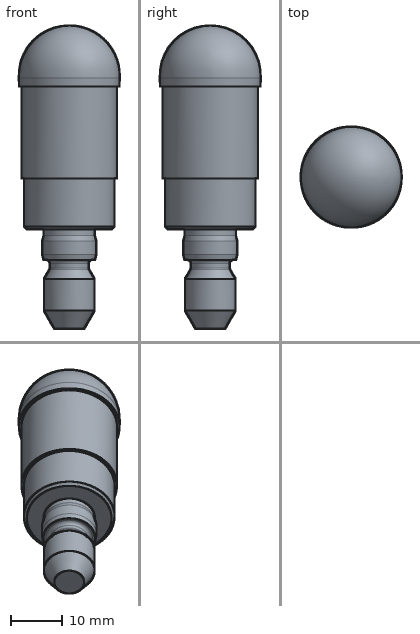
import cadquery as cq
import math

total_height = 59.5
tip_chamfer_top = 3.55
ring_bottom = 13.5
ring_land_bottom = 14.6
ring_land_top = 17.2
handle_bottom = 19.5
sleeve_bottom = 29.5
cap_bottom = 47.5

dome_radius = 19.9 / 2
sleeve_radius = 18.75 / 2
base_radius = 17.8 / 2
shank_radius = 10.0 / 2
neck_radius = 10.1 / 2
ring_radius = 10.65 / 2
groove_radius = 7.7 / 2

base_chamfer = 0.6
groove_fillet = 0.7
cone_angle = math.radians(30)
cap_taper = math.radians(2)
groove_bottom = 11.8
ring_taper_height = ring_land_bottom - ring_bottom


def make_shank():
    """Turned plug with a conical tip, a locking groove and a raised ring."""
    tip_radius = shank_radius - tip_chamfer_top * math.tan(cone_angle)
    shank_top = groove_bottom - (shank_radius - groove_radius) / math.tan(cone_angle)

    tangent = groove_fillet * math.tan(cone_angle / 2)
    cone_end = (
        groove_radius + tangent * math.sin(cone_angle),
        groove_bottom - tangent * math.cos(cone_angle),
    )
    arc_center = (groove_radius + groove_fillet, groove_bottom + tangent)
    lower_arc_middle = (
        arc_center[0] - groove_fillet * math.cos(cone_angle / 2),
        arc_center[1] - groove_fillet * math.sin(cone_angle / 2),
    )
    diagonal = groove_fillet * (1 - math.sqrt(0.5))
    upper_arc_middle = (groove_radius + diagonal, ring_bottom - diagonal)

    profile = (
        cq.Workplane("XZ")
        .moveTo(0, 0)
        .lineTo(tip_radius, 0)
        .lineTo(shank_radius, tip_chamfer_top)
        .lineTo(shank_radius, shank_top)
        .lineTo(*cone_end)
        .threePointArc(lower_arc_middle, (groove_radius, arc_center[1]))
        .lineTo(groove_radius, ring_bottom - groove_fillet)
        .threePointArc(upper_arc_middle, (groove_radius + groove_fillet, ring_bottom))
        .lineTo(neck_radius, ring_bottom)
        .lineTo(ring_radius, ring_land_bottom)
        .lineTo(ring_radius, ring_land_top)
        .lineTo(neck_radius, ring_land_top + ring_taper_height)
        .lineTo(neck_radius, handle_bottom)
        .lineTo(0, handle_bottom)
        .close()
    )
    return profile.revolve(360, (0, 0, 0), (0, 1, 0))


def make_handle():
    """Stepped cylindrical handle with a chamfered base and a domed cap."""
    dome_center = total_height - dome_radius
    dome_edge = (
        dome_radius * math.cos(cap_taper),
        dome_center - dome_radius * math.sin(cap_taper),
    )
    cap_bottom_radius = dome_edge[0] - (dome_edge[1] - cap_bottom) * math.tan(cap_taper)
    dome_middle = (dome_radius * math.sqrt(0.5), dome_center + dome_radius * math.sqrt(0.5))

    profile = (
        cq.Workplane("XZ")
        .moveTo(0, handle_bottom)
        .lineTo(base_radius - base_chamfer, handle_bottom)
        .lineTo(base_radius, handle_bottom + base_chamfer)
        .lineTo(base_radius, sleeve_bottom)
        .lineTo(sleeve_radius, sleeve_bottom)
        .lineTo(sleeve_radius, cap_bottom)
        .lineTo(cap_bottom_radius, cap_bottom)
        .lineTo(*dome_edge)
        .threePointArc(dome_middle, (0, total_height))
        .close()
    )
    return profile.revolve(360, (0, 0, 0), (0, 1, 0))


shank = make_shank()
handle = make_handle()

result = cq.Compound.makeCompound([shank.val(), handle.val()])